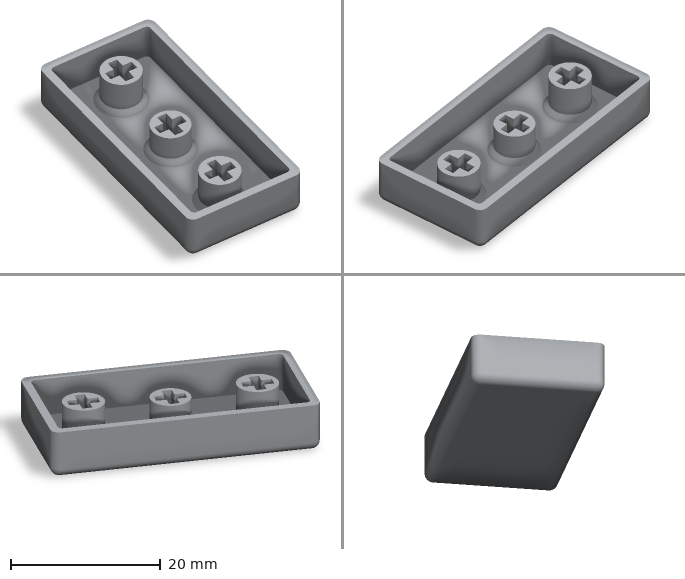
import cadquery as cq

length = 37.1
width = 18.05
height = 6.7
wall = 1.2
corner_radius = 1.2
inner_corner_radius = 0.6
bottom_fillet = 1.2
floor_thickness = 1.4

stem_spacing = 12.0
side_stem_diameter = 5.8
middle_stem_diameter = 5.6
side_stem_top = 6.55
middle_stem_top = 5.85
flare = 0.8

cross_length = 4.25
cross_arm = 1.4


def make_shell():
    """Open tray with rounded upright corners and a rounded underside edge."""
    body = cq.Workplane("XY").box(length, width, height, centered=(True, True, False))
    body = body.edges("|Z").fillet(corner_radius)
    body = body.faces("<Z").edges().fillet(bottom_fillet)
    cavity = (
        cq.Workplane("XY", origin=(0, 0, floor_thickness))
        .rect(length - 2 * wall, width - 2 * wall)
        .extrude(height - floor_thickness)
        .edges("|Z")
        .fillet(inner_corner_radius)
    )
    return body.cut(cavity)


def make_stem(x, diameter, stem_top):
    """Round stem with a conical foot that merges into the floor."""
    radius = diameter / 2
    profile = [
        (0, floor_thickness / 2),
        (radius + flare, floor_thickness / 2),
        (radius + flare, floor_thickness),
        (radius, floor_thickness + flare),
        (radius, stem_top),
        (0, stem_top),
    ]
    stem = cq.Workplane("XZ").polyline(profile).close().revolve(360, (0, 0), (0, 1))
    return stem.translate((x, 0, 0))


def make_socket(x, stem_top):
    """Cross-shaped cutter reaching from the stem top down to the floor."""
    socket_depth = stem_top - floor_thickness
    plane = cq.Workplane("XY", origin=(x, 0, stem_top))
    bar_x = plane.rect(cross_length, cross_arm).extrude(-socket_depth)
    bar_y = plane.rect(cross_arm, cross_length).extrude(-socket_depth)
    return bar_x.union(bar_y)


stems = [
    (-stem_spacing, side_stem_diameter, side_stem_top),
    (0, middle_stem_diameter, middle_stem_top),
    (stem_spacing, side_stem_diameter, side_stem_top),
]

result = make_shell()
for stem_x, stem_diameter, top in stems:
    result = result.union(make_stem(stem_x, stem_diameter, top))
    result = result.cut(make_socket(stem_x, top))